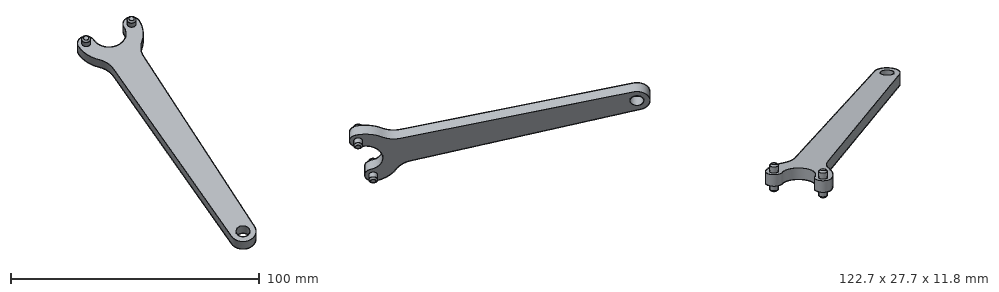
import cadquery as cq
import math

total_length = 122.7
total_width = 27.7
thickness = 5.0
pin_diameter = 3.5
pin_length = 11.8
pin_chamfer = 0.7
mouth_radius = 6.9
neck_radius = 10.1
neck_start_angle = math.radians(45)
arm_end_radius = 5.3
hang_hole_diameter = 5.5

head_radius = total_width / 2
prong_radius = (head_radius - mouth_radius) / 2
pin_offset = mouth_radius + prong_radius
arm_end_x = total_length - prong_radius - arm_end_radius


def polar(center, radius, angle):
    """Point at the given radius and angle about a center."""
    return (center[0] + radius * math.cos(angle), center[1] + radius * math.sin(angle))


def mirrored(point):
    """Point reflected across the long axis of the wrench."""
    return (point[0], -point[1])


def make_wrench():
    """Flat two-prong wrench with a tapered arm, a hang hole and two pin holes."""
    origin = (0, 0)
    arm_end_center = (arm_end_x, 0)
    neck_center = polar(origin, head_radius + neck_radius, neck_start_angle)

    run = arm_end_center[0] - neck_center[0]
    drop = neck_center[1] - arm_end_center[1]
    center_slope = math.atan2(-drop, run)
    tangent_tilt = math.asin((neck_radius + arm_end_radius) / math.hypot(run, drop))
    normal_angle = center_slope + tangent_tilt + math.pi / 2

    prong_outer = (0, head_radius)
    head_mid = polar(origin, head_radius, (neck_start_angle + math.pi / 2) / 2)
    neck_start = polar(origin, head_radius, neck_start_angle)
    neck_mid_angle = (neck_start_angle + normal_angle) / 2 + math.pi
    neck_mid = polar(neck_center, neck_radius, neck_mid_angle)
    neck_end = polar(neck_center, neck_radius, normal_angle + math.pi)
    arm_corner = polar(arm_end_center, arm_end_radius, normal_angle)
    arm_tip = (arm_end_x + arm_end_radius, 0)
    prong_inner = (0, mouth_radius)
    prong_tip = (-prong_radius, pin_offset)

    outline = (
        cq.Workplane("XY")
        .workplane(offset=-thickness / 2)
        .moveTo(*prong_outer)
        .threePointArc(head_mid, neck_start)
        .threePointArc(neck_mid, neck_end)
        .lineTo(*arm_corner)
        .threePointArc(arm_tip, mirrored(arm_corner))
        .lineTo(*mirrored(neck_end))
        .threePointArc(mirrored(neck_mid), mirrored(neck_start))
        .threePointArc(mirrored(head_mid), mirrored(prong_outer))
        .threePointArc(mirrored(prong_tip), mirrored(prong_inner))
        .threePointArc((mouth_radius, 0), prong_inner)
        .threePointArc(prong_tip, prong_outer)
        .close()
    )
    plate = outline.extrude(thickness)

    hang_hole = cq.Workplane("XY").center(*arm_end_center).circle(hang_hole_diameter / 2)
    pin_holes = (
        cq.Workplane("XY")
        .pushPoints([(0, pin_offset), (0, -pin_offset)])
        .circle(pin_diameter / 2)
    )
    return (
        plate
        .cut(hang_hole.extrude(thickness, both=True))
        .cut(pin_holes.extrude(thickness, both=True))
    )


def make_pin(y):
    """Pin through a prong, standing out equally on both faces, with chamfered ends."""
    return (
        cq.Workplane("XY")
        .workplane(offset=-pin_length / 2)
        .center(0, y)
        .circle(pin_diameter / 2)
        .extrude(pin_length)
        .faces("<Z or >Z")
        .chamfer(pin_chamfer)
    )


wrench = make_wrench()
pins = [make_pin(side * pin_offset) for side in (-1, 1)]

result = cq.Compound.makeCompound([wrench.val(), *[pin.val() for pin in pins]])